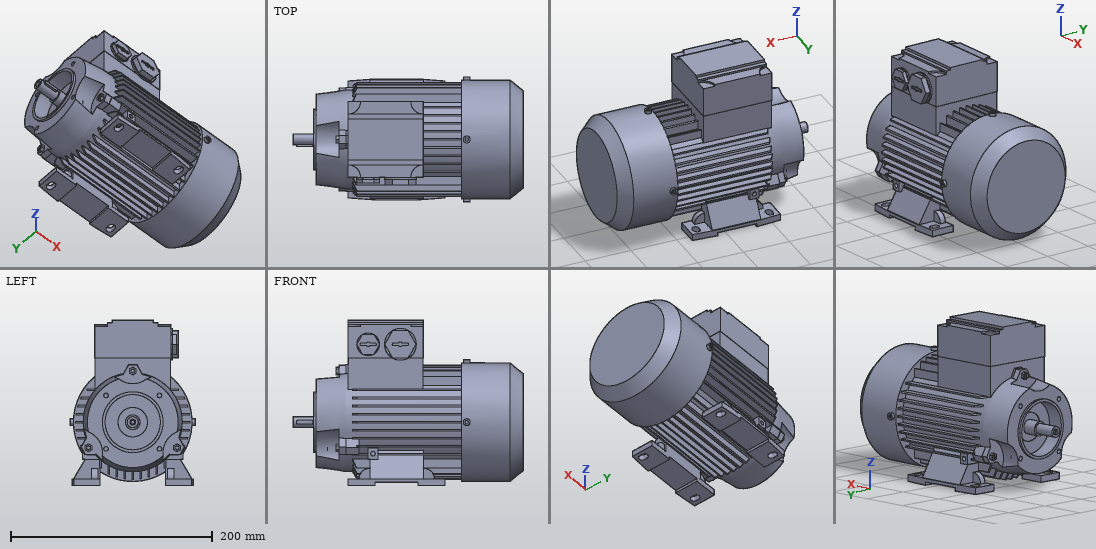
import cadquery as cq
import math


register_face_x = 20.3
flange_face_x = 22.8
bore_floor_x = 37.2
lug_face_x = 45.7
bell_end_x = 52.3
fin_start_x = 59.0
lug_end_x = 65.4
cover_start_x = 167.0
cover_taper_x = 215.2
motor_end_x = 228.5

shaft_radius = 5.5
shoulder_radius = 7.3
center_hole_radius = 3.0
center_hole_depth = 2.3
tapped_hole_radius = 1.8
tapped_hole_depth = 9.1
key_start_x = 3.2
key_end_x = 19.9
key_width = 4.0
key_outer_y = 7.0

flange_radius = 45.0
register_radius = 30.2
bore_radius = 27.5
seal_radius = 14.6
seal_depth = 0.7
flange_hole_offset = 26.5
flange_hole_radius = 2.3
flange_hole_depth = 11.5

lug_angles = (0, 120, 240)
lug_tip_radius = 56.7
lug_tip_half_width = 4.0
lug_base_radius = 47.8
lug_base_half_width = 9.4
housing_lug_rise = 0.7
bolt_circle_radius = 50.7
bolt_head_radius = 3.9
bolt_head_height = 3.2
bolt_socket_radius = 2.0
bolt_socket_depth = 1.5
scallop_radius = 22.5
scallop_front_center = 60.5
scallop_back_center = 58.3

core_radius = 49.1
fin_radius = 56.7
edge_fin_reach = 45.2
fin_pitch = 8.0
fins_per_side = 9
fin_thickness = 1.5
fin_slant = 4.5
cover_radius = 59.0
cover_end_radius = 48.2
cover_screw_x = 172.3
cover_screw_radius = 3.5
width_over_screws = 124.0
cover_screw_tip = width_over_screws / 2
screw_socket_radius = 1.8
screw_socket_depth = 1.4

box_start_x = 54.4
box_length = 75.0
box_half_width = 37.7
box_bottom_z = 32.2
box_seam_z = 63.5
box_seam_inset = 0.2
box_edge_z = 96.9
lid_lower_half_width = 25.1
lid_lower_z = 98.7
lid_upper_half_width = 20.3
lid_top_z = 101.2
corner_recess_radius = 12.5
corner_recess_z = 95.0

plug_center_z = 77.2
small_plug = (74.5, 11.2, 11.5, 5.7)
large_plug = (106.5, 15.8, 15.5, 7.5)
plug_washer_thickness = 1.8
plug_slot_length = 16.2
plug_slot_width = 2.5
plug_slot_hub_radius = 2.3
plug_slot_depth = 1.1

foot_bottom_z = -63.0
foot_top_z = -56.2
foot_bridge_z = -59.6
foot_start_x = box_start_x
foot_length = 96.5
pad_length = 27.0
foot_inner_y = 32.5
foot_end_y = 58.0
foot_middle_y = 60.0
leg_start_x = 76.3
leg_length = 53.0
leg_top_y = 42.0
leg_top_z = -27.9
leg_bottom_y = 58.7
rib_radius = 10.3
rib_offset = 0.7
rib_inner_y = 34.3
rib_outer_y = 40.7
foot_hole_y = 50.0
foot_hole_x = (63.0, 143.0)
foot_hole_width = 7.0
foot_hole_length = 10.5

earth_start_x = 74.3
earth_length = 10.0
earth_top_z = -25.8
earth_height = 11.0
earth_inner_y = 33.1
earth_outer_y = 50.0
earth_hole_radius = 2.3
earth_hole_depth = 4.5


def disc_x(x, radius, length):
    """Cylinder on the shaft axis, growing toward +X."""
    return cq.Workplane("YZ").workplane(offset=x).circle(radius).extrude(length)


def box(x0, x1, y0, y1, z0, z1):
    """Box given by its limits along each axis."""
    return cq.Workplane("XY").box(x1 - x0, y1 - y0, z1 - z0, centered=False).translate((x0, y0, z0))


def revolved(points):
    """Solid of revolution about the shaft axis from (x, radius) points."""
    return cq.Workplane("XY").polyline(points).close().revolve(360, (0, 0, 0), (1, 0, 0))


def around_axis(shape, angle):
    return shape.rotate((0, 0, 0), (1, 0, 0), angle)


def both_sides(shape):
    return shape.union(shape.mirror("XZ"))


def make_shaft():
    shaft = disc_x(0, shaft_radius, flange_face_x)
    shoulder_length = bore_floor_x + seal_depth - flange_face_x
    shaft = shaft.union(disc_x(flange_face_x, shoulder_radius, shoulder_length))
    shaft = shaft.cut(disc_x(0, center_hole_radius, center_hole_depth))
    shaft = shaft.cut(disc_x(0, tapped_hole_radius, tapped_hole_depth))
    key = (
        cq.Workplane("XZ")
        .center((key_start_x + key_end_x) / 2, 0)
        .slot2D(key_end_x - key_start_x, key_width)
        .extrude(key_outer_y)
    )
    return shaft.union(key.cut(disc_x(0, tapped_hole_radius, tapped_hole_depth)))


def scallop():
    """Inclined round cut that clears the bolt above the top lug."""
    run = lug_face_x - flange_face_x
    return (
        cq.Workplane("YZ", origin=(flange_face_x, 0, 0))
        .center(0, scallop_front_center)
        .circle(scallop_radius)
        .workplane(offset=run)
        .center(0, scallop_back_center - scallop_front_center)
        .circle(scallop_radius)
        .loft()
    )


def lug(x0, x1, rise):
    """Trapezoidal lug at the top of the motor, reaching down into the body."""
    root = core_radius / 2
    return (
        cq.Workplane("YZ", origin=(x0, 0, 0))
        .polyline([
            (-lug_base_half_width, root),
            (-lug_base_half_width, lug_base_radius),
            (-lug_tip_half_width, lug_tip_radius + rise),
            (lug_tip_half_width, lug_tip_radius + rise),
            (lug_base_half_width, lug_base_radius),
            (lug_base_half_width, root),
        ])
        .close()
        .extrude(x1 - x0)
    )


def hexagon(plane, center, corner_radius, height, first_angle):
    """Hexagonal prism with one corner at the given angle."""
    corners = [math.radians(first_angle + 60 * i) for i in range(6)]
    points = [(corner_radius * math.cos(a), corner_radius * math.sin(a)) for a in corners]
    return cq.Workplane(plane, origin=center).polyline(points).close().extrude(height)


def lug_bolt():
    head_x = lug_face_x - bolt_head_height
    center = (head_x, 0, bolt_circle_radius)
    head = hexagon("YZ", center, bolt_head_radius, bolt_head_height, 90)
    return head.cut(hexagon("YZ", center, bolt_socket_radius, bolt_socket_depth, 90))


def make_end_bell():
    bell = revolved([
        (flange_face_x, 0),
        (flange_face_x, flange_radius),
        (bell_end_x, core_radius),
        (bell_end_x, 0),
    ])
    for angle in lug_angles:
        bell = bell.cut(around_axis(scallop(), angle))
    bell = bell.union(disc_x(register_face_x, register_radius, flange_face_x - register_face_x))
    bell = bell.cut(disc_x(register_face_x, bore_radius, bore_floor_x - register_face_x))
    bell = bell.cut(disc_x(bore_floor_x, seal_radius, seal_depth))
    flange_holes = (
        cq.Workplane("YZ", origin=(flange_face_x, 0, 0))
        .rect(2 * flange_hole_offset, 2 * flange_hole_offset, forConstruction=True)
        .vertices()
        .circle(flange_hole_radius)
        .extrude(flange_hole_depth)
    )
    bell = bell.cut(flange_holes)
    for angle in lug_angles:
        bell = bell.union(around_axis(lug(lug_face_x, bell_end_x, 0), angle))
        bell = bell.union(around_axis(lug_bolt(), angle))
    return bell


def make_housing():
    fins = None
    for i in range(fins_per_side):
        offset = (i - (fins_per_side - 1) / 2) * fin_pitch
        low = offset - fin_thickness / 2
        high = offset + fin_thickness / 2
        reach = edge_fin_reach if i in (0, fins_per_side - 1) else fin_radius
        side_fin = box(fin_start_x, cover_start_x, -reach, reach, low, high)
        upright_fin = box(fin_start_x, cover_start_x, low, high, -reach, reach)
        pair = side_fin.union(upright_fin)
        fins = pair if fins is None else fins.union(pair)
    envelope = revolved([
        (fin_start_x, 0),
        (fin_start_x, core_radius),
        (fin_start_x + fin_slant, fin_radius),
        (cover_start_x, fin_radius),
        (cover_start_x, 0),
    ])
    housing = disc_x(bell_end_x, core_radius, cover_start_x - bell_end_x).union(fins.intersect(envelope))
    for angle in lug_angles:
        housing = housing.union(around_axis(lug(bell_end_x, lug_end_x, housing_lug_rise), angle))
    return housing


def make_cover():
    cover = revolved([
        (cover_start_x, 0),
        (cover_start_x, cover_radius),
        (cover_taper_x, cover_radius),
        (motor_end_x, cover_end_radius),
        (motor_end_x, 0),
    ])
    screw_plane = cq.Workplane("XY", origin=(cover_screw_x, 0, cover_end_radius))
    screw = screw_plane.circle(cover_screw_radius).extrude(cover_screw_tip - cover_end_radius)
    socket_center = (cover_screw_x, 0, cover_screw_tip)
    screw = screw.cut(hexagon("XY", socket_center, screw_socket_radius, -screw_socket_depth, 0))
    for angle in (-90, 0, 90):
        cover = cover.union(around_axis(screw, angle))
    return cover


def cable_plug(center_x, washer_radius, hex_radius, reach):
    """Washer and slotted hexagonal plug on the -Y side of the terminal box."""
    center = (center_x, -box_half_width, plug_center_z)
    plug = cq.Workplane("XZ", origin=center).circle(washer_radius).extrude(plug_washer_thickness)
    plug = plug.union(hexagon("XZ", center, hex_radius, reach, 0))
    face = cq.Workplane("XZ", origin=(center_x, -box_half_width - reach, plug_center_z))
    plug = plug.cut(face.slot2D(plug_slot_length, plug_slot_width).extrude(-plug_slot_depth))
    return plug.cut(face.circle(plug_slot_hub_radius).extrude(-plug_slot_depth))


def make_terminal_box():
    x0 = box_start_x
    x1 = box_start_x + box_length
    half = box_half_width
    base_half = half - box_seam_inset
    base_x0 = x0 + box_seam_inset
    base_x1 = x1 - box_seam_inset
    terminal_box = box(base_x0, base_x1, -base_half, base_half, box_bottom_z, box_seam_z)
    upper = box(x0, x1, -half, half, box_seam_z, box_edge_z)
    recesses = (
        cq.Workplane("XY", origin=(x0 + box_length / 2, 0, corner_recess_z))
        .rect(box_length, 2 * half, forConstruction=True)
        .vertices()
        .circle(corner_recess_radius)
        .extrude(box_edge_z - corner_recess_z)
    )
    terminal_box = terminal_box.union(upper.cut(recesses))
    for half_width, top_z in ((lid_lower_half_width, lid_lower_z), (lid_upper_half_width, lid_top_z)):
        terminal_box = terminal_box.union(box(x0, x1, -half_width, half_width, box_seam_z, top_z))
    for plug in (small_plug, large_plug):
        terminal_box = terminal_box.union(cable_plug(*plug))
    return terminal_box


def make_foot():
    """Foot on the +Y side: plate with two pads, sloped leg, ribs and earth block."""
    foot_end_x = foot_start_x + foot_length
    front_pad_end_x = foot_start_x + pad_length
    rear_pad_start_x = foot_end_x - pad_length
    foot = (
        cq.Workplane("XY", origin=(0, 0, foot_bottom_z))
        .polyline([
            (foot_start_x, foot_inner_y),
            (foot_start_x, foot_end_y),
            (front_pad_end_x, foot_middle_y),
            (rear_pad_start_x, foot_middle_y),
            (foot_end_x, foot_end_y),
            (foot_end_x, foot_inner_y),
        ])
        .close()
        .extrude(foot_top_z - foot_bottom_z)
    )
    foot = foot.cut(
        box(front_pad_end_x, rear_pad_start_x, foot_inner_y, foot_middle_y, foot_bottom_z, foot_bridge_z)
    )
    foot_holes = (
        cq.Workplane("XY", origin=(0, 0, foot_bottom_z))
        .pushPoints([(x, foot_hole_y) for x in foot_hole_x])
        .slot2D(foot_hole_length, foot_hole_width, 90)
        .extrude(foot_top_z - foot_bottom_z)
    )
    foot = foot.cut(foot_holes)

    leg_end_x = leg_start_x + leg_length
    leg = (
        cq.Workplane("YZ", origin=(leg_start_x, 0, 0))
        .polyline([
            (foot_inner_y, foot_top_z),
            (foot_inner_y, leg_top_z),
            (leg_top_y, leg_top_z),
            (leg_bottom_y, foot_top_z),
        ])
        .close()
        .extrude(leg_length)
    )
    ribs = (
        cq.Workplane("XZ", origin=(0, rib_outer_y, foot_top_z))
        .pushPoints([(leg_start_x - rib_offset, 0), (leg_end_x + rib_offset, 0)])
        .circle(rib_radius)
        .extrude(rib_outer_y - rib_inner_y)
    )
    above_plate = box(foot_start_x, foot_end_x, 0, foot_middle_y, foot_top_z, 0)
    foot = foot.union(leg).union(ribs.intersect(above_plate))

    earth_block = box(
        earth_start_x, earth_start_x + earth_length,
        earth_inner_y, earth_outer_y,
        earth_top_z - earth_height, earth_top_z,
    )
    earth_center = (earth_start_x + earth_length / 2, earth_outer_y, earth_top_z - earth_height / 2)
    earth_hole = cq.Workplane("XZ", origin=earth_center).circle(earth_hole_radius).extrude(earth_hole_depth)
    return foot.union(earth_block.cut(earth_hole))


motor = make_end_bell().union(make_housing()).union(make_cover())
motor = motor.union(make_terminal_box()).union(both_sides(make_foot()))
result = motor.union(make_shaft())